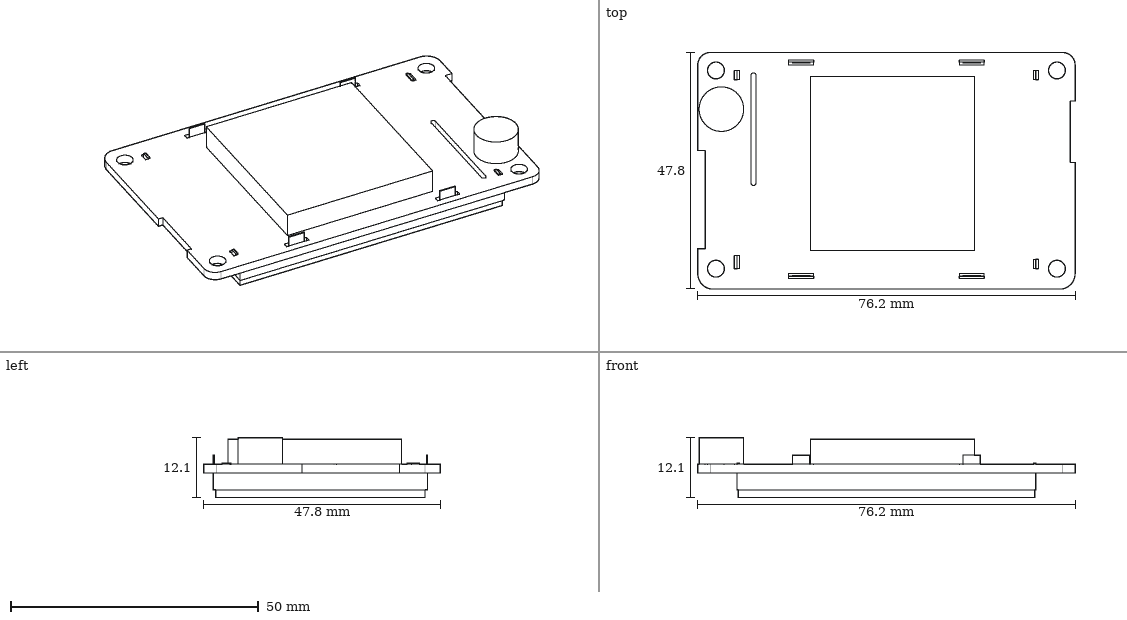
import cadquery as cq

BOARD_LENGTH = 76.2
BOARD_WIDTH = 47.8
BOARD_THICKNESS = 1.8
BACK_CORNER_RADIUS = 2.6
FRONT_CORNER_RADIUS = 3.2
FRONT_CORNER_RUN_X = 2.6
FRONT_CORNER_RUN_Y = 3.1

LEFT_NOTCH_DEPTH = 1.5
LEFT_NOTCH_SPAN = (-15.7, 4.05)
RIGHT_NOTCH_DEPTH = 1.0
RIGHT_NOTCH_SPAN = (1.7, 14.0)

HOLE_DIAMETER = 3.35
HOLE_PITCH_X = 68.8
HOLE_PITCH_Y = 40.0
HOLE_CENTRE_Y = 0.2

FRAME_LENGTH = 60.35
FRAME_WIDTH = 43.3
FRAME_HEIGHT = 3.35
DISPLAY_CENTRE_Y = 0.3
GLASS_LENGTH = 59.9
GLASS_WIDTH = 42.3
GLASS_HEIGHT = 1.6

CLIP_SLOT_LENGTH = 5.0
CLIP_SLOT_WIDTH = 1.0
CLIP_LENGTH = 3.5
CLIP_THICKNESS = 0.2
CLIP_RISE = 1.8
CLIP_SPACING_X = 34.45

TAB_SLOT_WIDTH = 1.0
TAB_RISE = 0.2
TAB_SHORT = 1.8
TAB_LONG = 2.6
TAB_UPPER_Y = 19.3
TAB_LOWER_Y = -18.8
TAB_LONG_Y = -18.45

CABLE_SLOT_WIDTH = 1.0
CABLE_SLOT_LENGTH = 22.7
CABLE_SLOT_CENTRE = (-26.8, 8.4)

BLOCK_LENGTH = 33.15
BLOCK_WIDTH = 35.05
BLOCK_HEIGHT = 5.0
BLOCK_CENTRE = (1.2, 1.45)
BUTTON_DIAMETER = 9.0
BUTTON_HEIGHT = 5.3
BUTTON_CENTRE = (-33.3, 12.4)

FRAME_END_X = FRAME_LENGTH / 2
CLIP_OFFSET_Y = FRAME_WIDTH / 2 - CLIP_THICKNESS / 2
CLIP_CENTRES = [
    (x, DISPLAY_CENTRE_Y + side * CLIP_OFFSET_Y)
    for side in (-1, 1)
    for x in (-CLIP_SPACING_X / 2, CLIP_SPACING_X / 2)
]
TABS = (
    (-1, TAB_UPPER_Y, TAB_SHORT),
    (1, TAB_UPPER_Y, TAB_SHORT),
    (-1, TAB_LONG_Y, TAB_LONG),
    (1, TAB_LOWER_Y, TAB_SHORT),
)


def block(length, width, height, centre, bottom=0.0):
    """Upright box given by its centre in XY and its bottom Z."""
    box = cq.Workplane("XY").box(length, width, height, centered=(True, True, False))
    return box.translate((centre[0], centre[1], bottom))


def board_cutter(length, width, centre):
    """Box that cuts through the full board thickness."""
    return block(length, width, BOARD_THICKNESS, centre)


def edge_notch(side, depth, span):
    """Cutter for a notch in the left (-1) or right (1) board edge."""
    lower, upper = span
    centre_x = side * (BOARD_LENGTH / 2 - depth / 2)
    return board_cutter(depth, upper - lower, (centre_x, (lower + upper) / 2))


def make_board():
    end_x = BOARD_LENGTH / 2
    side_y = BOARD_WIDTH / 2
    front_x = end_x - FRONT_CORNER_RUN_X
    front_y = FRONT_CORNER_RUN_Y - side_y
    board = (
        cq.Workplane("XY")
        .moveTo(-front_x, -side_y)
        .lineTo(front_x, -side_y)
        .radiusArc((end_x, front_y), -FRONT_CORNER_RADIUS)
        .lineTo(end_x, side_y)
        .lineTo(-end_x, side_y)
        .lineTo(-end_x, front_y)
        .radiusArc((-front_x, -side_y), -FRONT_CORNER_RADIUS)
        .close()
        .extrude(BOARD_THICKNESS)
    )
    board = board.edges("|Z and >Y").fillet(BACK_CORNER_RADIUS)
    holes = (
        cq.Workplane("XY")
        .center(0, HOLE_CENTRE_Y)
        .rect(HOLE_PITCH_X, HOLE_PITCH_Y, forConstruction=True)
        .vertices()
        .circle(HOLE_DIAMETER / 2)
        .extrude(BOARD_THICKNESS)
    )
    cable_slot = (
        cq.Workplane("XY")
        .center(*CABLE_SLOT_CENTRE)
        .slot2D(CABLE_SLOT_LENGTH, CABLE_SLOT_WIDTH, 90)
        .extrude(BOARD_THICKNESS)
    )
    board = board.cut(holes).cut(cable_slot)
    board = board.cut(edge_notch(-1, LEFT_NOTCH_DEPTH, LEFT_NOTCH_SPAN))
    board = board.cut(edge_notch(1, RIGHT_NOTCH_DEPTH, RIGHT_NOTCH_SPAN))

    for centre in CLIP_CENTRES:
        board = board.cut(board_cutter(CLIP_SLOT_LENGTH, CLIP_SLOT_WIDTH, centre))

    for side, y, length in TABS:
        board = board.cut(board_cutter(TAB_SLOT_WIDTH, length, (side * FRAME_END_X, y)))
    return board


def make_display():
    centre = (0, DISPLAY_CENTRE_Y)
    frame = block(FRAME_LENGTH, FRAME_WIDTH, FRAME_HEIGHT, centre, -FRAME_HEIGHT)
    glass_bottom = -FRAME_HEIGHT - GLASS_HEIGHT
    display = frame.union(block(GLASS_LENGTH, GLASS_WIDTH, GLASS_HEIGHT, centre, glass_bottom))

    for clip_centre in CLIP_CENTRES:
        clip = block(CLIP_LENGTH, CLIP_THICKNESS, BOARD_THICKNESS + CLIP_RISE, clip_centre)
        display = display.union(clip)

    tab_thickness = TAB_SLOT_WIDTH / 2
    for side, y, length in TABS:
        tab_x = side * (FRAME_END_X - tab_thickness / 2)
        tab = block(tab_thickness, length, BOARD_THICKNESS + TAB_RISE, (tab_x, y))
        display = display.union(tab)
    return display


def make_top_parts():
    top_block = block(BLOCK_LENGTH, BLOCK_WIDTH, BLOCK_HEIGHT, BLOCK_CENTRE, BOARD_THICKNESS)
    button = (
        cq.Workplane("XY", origin=(*BUTTON_CENTRE, BOARD_THICKNESS))
        .circle(BUTTON_DIAMETER / 2)
        .extrude(BUTTON_HEIGHT)
    )
    return top_block.union(button)


result = make_board().union(make_display()).union(make_top_parts())